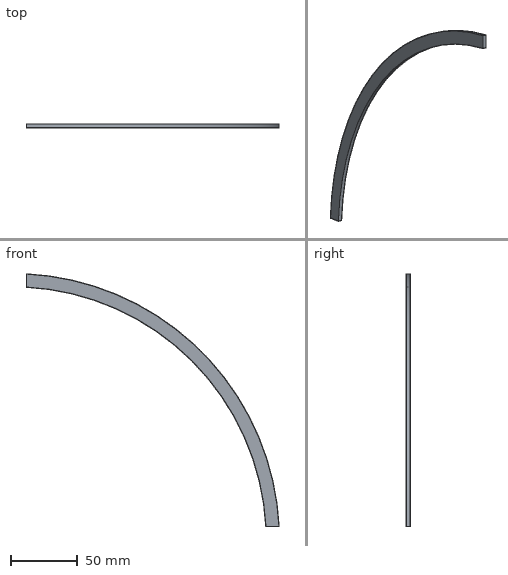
import cadquery as cq
import math

span = 189.8
outer_radius = 200.0
strip_width = 10.0
thickness = 3.0

inner_radius = outer_radius - strip_width

end_offset = (math.sqrt(2 * outer_radius**2 - span**2) - span) / 2


def arc_points(radius):
    """Top, middle and right points of an arc ending on the two end cuts."""
    reach = math.sqrt(radius**2 - end_offset**2)
    diagonal = radius * math.sqrt(0.5)
    return (end_offset, reach), (diagonal, diagonal), (reach, end_offset)


outer_top, outer_middle, outer_right = arc_points(outer_radius)
inner_top, inner_middle, inner_right = arc_points(inner_radius)

result = (
    cq.Workplane("XZ")
    .moveTo(*outer_top)
    .threePointArc(outer_middle, outer_right)
    .lineTo(*inner_right)
    .threePointArc(inner_middle, inner_top)
    .close()
    .extrude(thickness / 2, both=True)
)